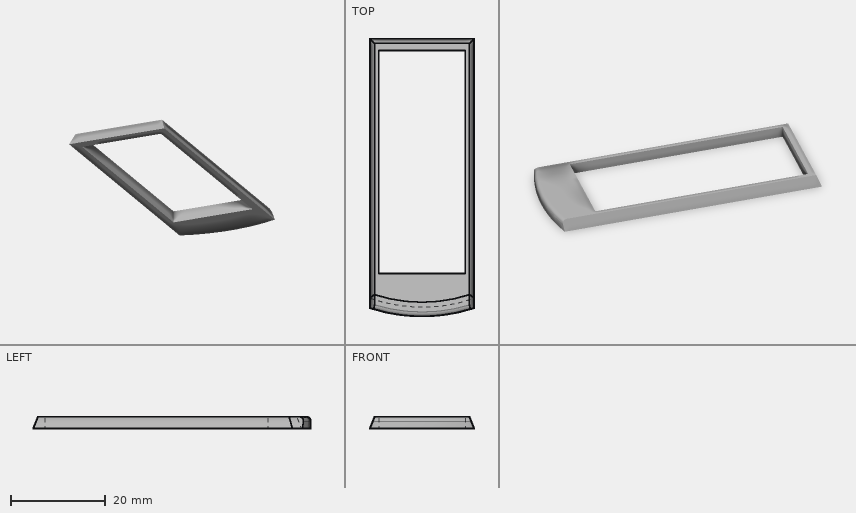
import cadquery as cq
import math

width = 22.0
length = 58.5
height = 2.5
front_radius = 35.0
rear_y = length - front_radius

draft_inset = 1.0
draft_angle = math.degrees(math.atan(draft_inset / height))

lip_top_depth = 3.0
lip_fillet = 1.0

joint_top_radius = front_radius - lip_top_depth
joint_bottom_radius = joint_top_radius + draft_inset

window_width = 18.2
window_length = 46.9
rear_wall = 2.5
window_center_y = rear_y - rear_wall - window_length / 2

front_overrun = 5.0


def drafted_block():
    """Block with leaning sides and rear, reaching past the front arc."""
    block_length = length + front_overrun
    return (
        cq.Workplane("XY")
        .center(0, rear_y - block_length / 2)
        .rect(width, block_length)
        .extrude(height, taper=draft_angle)
    )


def joint_cone():
    """Cone frustum whose side face separates the frame from the lip."""
    return cq.Workplane(cq.Solid.makeCone(joint_bottom_radius, joint_top_radius, height))


def make_frame():
    """Drafted frame with a conical front end and a rectangular window."""
    window = (
        cq.Workplane("XY")
        .center(0, window_center_y)
        .rect(window_width, window_length)
        .extrude(height)
    )
    return drafted_block().intersect(joint_cone()).cut(window)


def make_lip():
    """Curved band in front of the frame, rounded along its top front edge."""
    front_disc = cq.Workplane("XY").circle(front_radius).extrude(height)
    front_disc = front_disc.faces(">Z").edges().fillet(lip_fillet)
    return drafted_block().intersect(front_disc).cut(joint_cone())


frame = make_frame()
lip = make_lip()

result = cq.Compound.makeCompound([frame.val(), lip.val()])